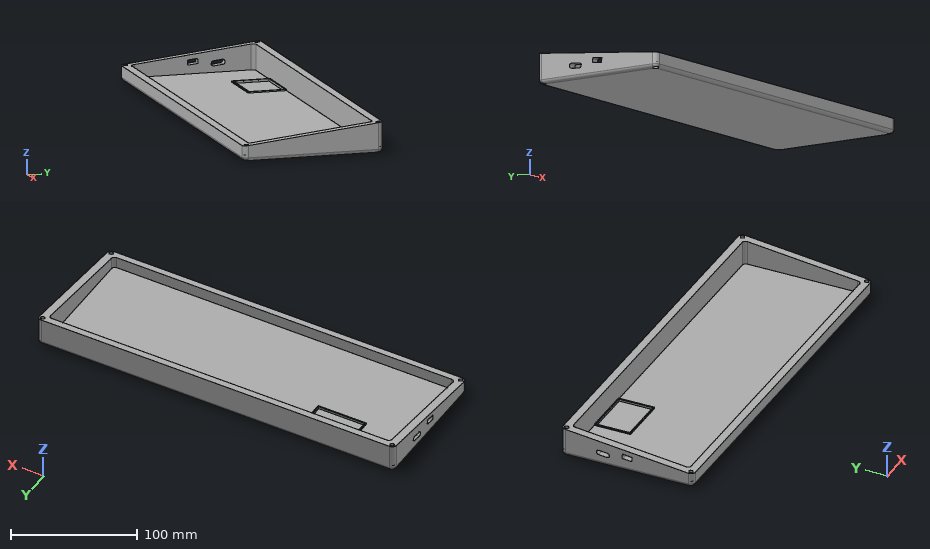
import cadquery as cq
import math

LENGTH = 326.2
WIDTH = 116.4
BACK_HEIGHT = 25.0
FRONT_HEIGHT = 12.5
TOP_SLOPE = math.atan((BACK_HEIGHT - FRONT_HEIGHT) / WIDTH)
CORNER_RADIUS = 4.1
BOTTOM_FILLET = 3.0

SIDE_WALL = 7.2
END_WALL = 6.6
CAVITY_LENGTH = LENGTH - 2 * SIDE_WALL
CAVITY_WIDTH = WIDTH - 2 * END_WALL
CAVITY_RADIUS = 3.0
FLOOR_THICKNESS = 3.0

SCREW_INSET = 3.4
SCREW_DIAMETER = 3.4
HEAD_DIAMETER = 4.4
HEAD_DEPTH = 5.0

FRAME_LENGTH = 44.0
FRAME_WIDTH = 31.8
FRAME_THICKNESS = 1.0
FRAME_HEIGHT = 1.0
FRAME_POCKET_DEPTH = 1.0
FRAME_LEFT_OFFSET = 47.0

SLOT_HEIGHT = 4.0
LARGE_SLOT_LENGTH = 11.4
LARGE_SLOT_FROM_BACK = 37.0
LARGE_SLOT_Z = 10.6
SMALL_SLOT_LENGTH = 8.6
SMALL_SLOT_RADIUS = 0.8
SMALL_SLOT_FROM_BACK = 58.2
SMALL_SLOT_Z = 12.6

LEFT = -LENGTH / 2
BACK = WIDTH / 2
FRAME_CENTER_X = LEFT + FRAME_LEFT_OFFSET + FRAME_LENGTH / 2
FRAME_CENTER_Y = BACK - END_WALL - FRAME_WIDTH / 2
FRAME_BOTTOM = FLOOR_THICKNESS - FRAME_POCKET_DEPTH
FRAME_TOP = FLOOR_THICKNESS + FRAME_HEIGHT


def wedge_body():
    block = (
        cq.Workplane("XY")
        .rect(LENGTH, WIDTH)
        .extrude(BACK_HEIGHT)
        .edges("|Z")
        .fillet(CORNER_RADIUS)
        .faces("<Z")
        .edges()
        .fillet(BOTTOM_FILLET)
    )
    above_slope = (
        cq.Workplane("YZ")
        .polyline([(-BACK, FRONT_HEIGHT), (BACK, BACK_HEIGHT), (-BACK, BACK_HEIGHT)])
        .close()
        .extrude(LENGTH / 2, both=True)
    )
    return block.cut(above_slope)


def cavity():
    return (
        cq.Workplane("XY", origin=(0, 0, FLOOR_THICKNESS))
        .rect(CAVITY_LENGTH, CAVITY_WIDTH)
        .extrude(BACK_HEIGHT)
        .edges("|Z")
        .fillet(CAVITY_RADIUS)
    )


def screw_holes():
    corners = (
        cq.Workplane("XY")
        .rect(LENGTH - 2 * SCREW_INSET, WIDTH - 2 * SCREW_INSET, forConstruction=True)
        .vertices()
    )
    shanks = corners.circle(SCREW_DIAMETER / 2).extrude(BACK_HEIGHT)
    heads = corners.circle(HEAD_DIAMETER / 2).extrude(HEAD_DEPTH)
    return shanks.union(heads)


def frame_block(inset, bottom, top):
    return (
        cq.Workplane("XY", origin=(FRAME_CENTER_X, FRAME_CENTER_Y, bottom))
        .rect(FRAME_LENGTH - 2 * inset, FRAME_WIDTH - 2 * inset)
        .extrude(top - bottom)
    )


def large_slot():
    return (
        cq.Workplane("YZ", origin=(LEFT, BACK - LARGE_SLOT_FROM_BACK, LARGE_SLOT_Z))
        .slot2D(LARGE_SLOT_LENGTH, SLOT_HEIGHT, math.degrees(TOP_SLOPE))
        .extrude(2 * SIDE_WALL)
    )


def small_slot():
    return (
        cq.Workplane("YZ", origin=(LEFT, BACK - SMALL_SLOT_FROM_BACK, SMALL_SLOT_Z))
        .transformed(rotate=(0, 0, math.degrees(TOP_SLOPE)))
        .rect(SMALL_SLOT_LENGTH, SLOT_HEIGHT)
        .extrude(2 * SIDE_WALL)
        .edges("|X")
        .fillet(SMALL_SLOT_RADIUS)
    )


result = (
    wedge_body()
    .cut(cavity())
    .cut(screw_holes())
    .union(frame_block(0, FRAME_BOTTOM, FRAME_TOP))
    .cut(frame_block(FRAME_THICKNESS, FRAME_BOTTOM, FRAME_TOP))
    .cut(large_slot())
    .cut(small_slot())
)